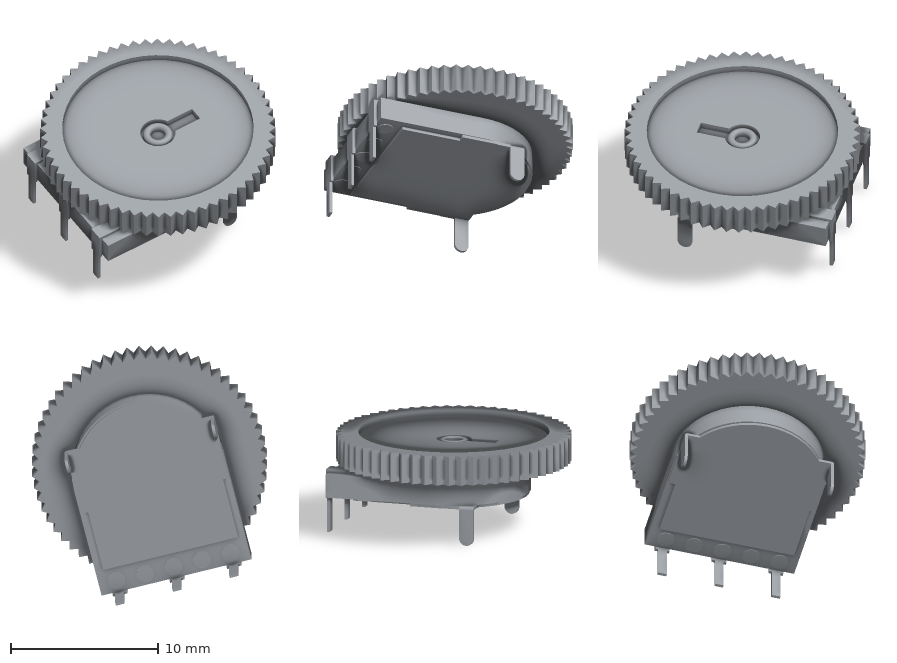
import cadquery as cq
import math

WHEEL_WIDTH = 15.98
WHEEL_HEIGHT = 2.0
TOOTH_COUNT = 60
VALLEY_RADIUS = 7.56
DISH_RADIUS = 6.5
DISH_DEPTH = 0.5
RECESS_DEPTH = 0.5
RECESS_RADIUS = 1.2
SLOT_WIDTH = 1.0
SLOT_START = 1.1
SLOT_END = 3.1
RING_RADIUS = 1.0
RING_BORE_RADIUS = 0.5
HUB_RADIUS = 3.0
HUB_HEIGHT = 0.4

BASE_WIDTH = 10.5
BASE_HEIGHT = 1.6
BASE_FRONT = -7.5
SHEET = 0.2

PIN_PITCH = 4.0
PIN_WIDTH = 1.0
PIN_TIP_WIDTH = 0.6
PIN_TAB_LENGTH = 1.8
PIN_BOTTOM = -4.6

PLATE_OFFSET = -0.05
PLATE_RADIUS = 5.15
PLATE_BODY_WIDTH = 9.46
PLATE_FRONT = -5.7
SHOULDER_WIDTH = 10.39
SHOULDER_FRONT = -1.5
ARM_FRONT = 1.0
LEG_SPAN = 10.48
ARM_SPAN = 10.37
LEG_FRONT = 2.0
LEG_WIDTH = 1.0
LEG_BOTTOM = -4.7

BUMP_COUNT = 5
BUMP_PITCH = PIN_PITCH / 2
BUMP_RADIUS = 0.6
BUMP_HEIGHT = 0.05
BUMP_Y = -6.7

DISH_FLOOR = WHEEL_HEIGHT - DISH_DEPTH
RECESS_FLOOR = DISH_FLOOR - RECESS_DEPTH
BASE_TOP = -HUB_HEIGHT
BASE_BOTTOM = BASE_TOP - BASE_HEIGHT
PLATE_BOTTOM = BASE_BOTTOM - SHEET
LEG_BACK = LEG_FRONT + LEG_WIDTH


def box(x_min, x_max, y_min, y_max, z_min, z_max):
    """Axis-aligned block between the given limits."""
    size = (x_max - x_min, y_max - y_min, z_max - z_min)
    return cq.Workplane("XY").box(*size, centered=False).translate((x_min, y_min, z_min))


def disc(radius, z_min, z_max, x=0.0, y=0.0):
    """Upright cylinder between two levels."""
    return cq.Workplane("XY").circle(radius).extrude(z_max - z_min).translate((x, y, z_min))


def toothed_rim():
    """Disc with straight-sided pointed teeth; a valley lies on each main axis."""
    half_pitch = math.pi / TOOTH_COUNT
    tip_radius = WHEEL_WIDTH / 2 / math.cos(half_pitch)
    outline = []
    for step in range(2 * TOOTH_COUNT):
        radius = tip_radius if step % 2 else VALLEY_RADIUS
        angle = step * half_pitch
        outline.append((radius * math.cos(angle), radius * math.sin(angle)))
    return cq.Workplane("XY").polyline(outline).close().extrude(WHEEL_HEIGHT)


def center_ring():
    """Round-topped ring standing on the recess floor, flush with the dish floor."""
    crown = (RING_RADIUS - RING_BORE_RADIUS) / 2
    shoulder = DISH_FLOOR - crown
    return (
        cq.Workplane("XZ")
        .moveTo(RING_BORE_RADIUS, RECESS_FLOOR)
        .lineTo(RING_RADIUS, RECESS_FLOOR)
        .lineTo(RING_RADIUS, shoulder)
        .threePointArc((RING_RADIUS - crown, DISH_FLOOR), (RING_BORE_RADIUS, shoulder))
        .close()
        .revolve(360, (0, 0, 0), (0, 1, 0))
    )


def make_wheel():
    dish = disc(DISH_RADIUS, DISH_FLOOR, WHEEL_HEIGHT)
    recess = disc(RECESS_RADIUS, RECESS_FLOOR, DISH_FLOOR)
    slot = box(-SLOT_WIDTH / 2, SLOT_WIDTH / 2, SLOT_START, SLOT_END, RECESS_FLOOR, DISH_FLOOR)
    hub = disc(HUB_RADIUS, BASE_TOP, 0)
    return toothed_rim().cut(dish).cut(slot).cut(recess).union(center_ring()).union(hub)


def base_block():
    """Rectangular block with a half-round back."""
    half = BASE_WIDTH / 2
    return (
        cq.Workplane("XY", origin=(0, 0, BASE_BOTTOM))
        .moveTo(-half, BASE_FRONT)
        .lineTo(half, BASE_FRONT)
        .lineTo(half, 0)
        .threePointArc((0, half), (-half, 0))
        .close()
        .extrude(BASE_HEIGHT)
    )


def terminal(x, rounded):
    """Sheet terminal folded over the front edge, with a narrow tip; the fold may be rounded."""
    front = BASE_FRONT - SHEET
    half = PIN_WIDTH / 2
    tip_half = PIN_TIP_WIDTH / 2
    tab = box(-half, half, front, front + PIN_TAB_LENGTH, BASE_TOP, BASE_TOP + SHEET)
    face = box(-half, half, front, BASE_FRONT, PLATE_BOTTOM, BASE_TOP + SHEET)
    tip = box(-tip_half, tip_half, front, BASE_FRONT, PIN_BOTTOM, PLATE_BOTTOM)
    pin = tab.union(face)
    if rounded:
        pin = pin.edges("|X and >Z and <Y").fillet(SHEET)
    return pin.union(tip).translate((x, 0, 0))


def side_leg():
    """Leg on the +X side: bent down from the plate, rounded on the bend and at the tip."""
    outer = LEG_SPAN / 2
    inner = outer - SHEET
    tip_radius = LEG_WIDTH / 2
    tip_center = LEG_BOTTOM + tip_radius
    arm_root = PLATE_BODY_WIDTH / 4
    sheet = box(arm_root, outer, LEG_FRONT, LEG_BACK, PLATE_BOTTOM, BASE_BOTTOM)
    leg = box(inner, outer, LEG_FRONT, LEG_BACK, tip_center, BASE_BOTTOM)
    tip = cq.Workplane("YZ", origin=(inner, LEG_FRONT + tip_radius, tip_center)).circle(tip_radius)
    bent = sheet.union(leg).edges("|Y and >X and >Z").fillet(SHEET)
    return bent.union(tip.extrude(SHEET))


def plate_strip(width, front, back):
    """Part of the bottom plate with straight sides, centred on X = 0."""
    return box(-width / 2, width / 2, front, back, PLATE_BOTTOM, BASE_BOTTOM)


def bottom_plate():
    """Round-backed sheet with shoulders and arms at its sides and two bent legs."""
    body = disc(PLATE_RADIUS, PLATE_BOTTOM, BASE_BOTTOM)
    body = body.intersect(plate_strip(PLATE_BODY_WIDTH, 0, PLATE_RADIUS))
    tongue = plate_strip(PLATE_BODY_WIDTH, PLATE_FRONT, 0)
    arms = plate_strip(ARM_SPAN, ARM_FRONT, LEG_FRONT)
    leg = side_leg()
    plate = body.union(tongue).union(arms).union(leg).union(leg.mirror("YZ"))
    shoulders = plate_strip(SHOULDER_WIDTH, SHOULDER_FRONT, ARM_FRONT)
    return plate.translate((PLATE_OFFSET, 0, 0)).union(shoulders)


def make_base():
    base = base_block().union(bottom_plate())
    for side in (-1, 0, 1):
        base = base.union(terminal(side * PIN_PITCH, rounded=side == 0))
    for index in range(BUMP_COUNT):
        x = (index - (BUMP_COUNT - 1) / 2) * BUMP_PITCH
        base = base.union(disc(BUMP_RADIUS, BASE_BOTTOM - BUMP_HEIGHT, BASE_BOTTOM, x, BUMP_Y))
    return base


wheel = make_wheel()
base = make_base()

result = cq.Compound.makeCompound([wheel.val(), base.val()])